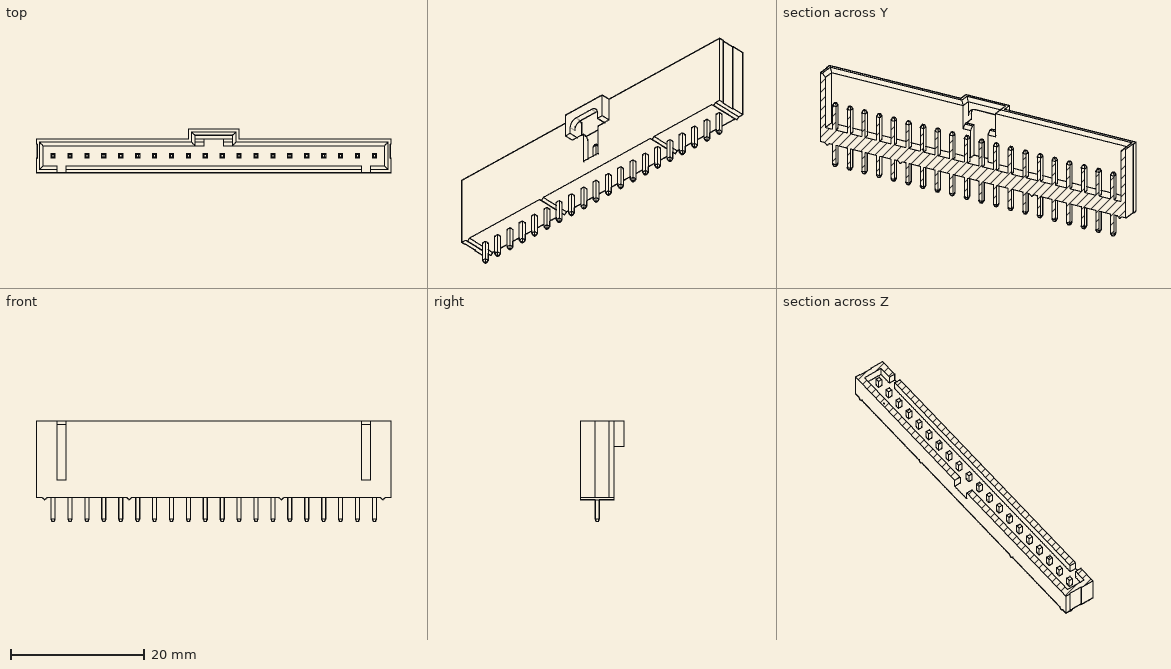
import cadquery as cq

PIN_COUNT = 20
PITCH = 2.54
PIN_SIZE = 0.64
PIN_TAIL = 3.61
PIN_TOP_Z = 6.9
PIN_TAPER = 0.4
PIN_TIP_SIZE = 0.32

END_MARGIN = 2.5
LENGTH = (PIN_COUNT - 1) * PITCH + 2 * END_MARGIN
DEPTH = 5.1
HEIGHT = 11.5
FLOOR = 2.6
BACK_WALL = 1.05
FRONT_WALL = 1.035
END_WALL = 1.0
LEAD_IN = 0.55
BACK_Y = DEPTH / 2
FRONT_Y = -DEPTH / 2
CAVITY_LENGTH = LENGTH - 2 * END_WALL
CAVITY_BACK_Y = BACK_Y - BACK_WALL
CAVITY_FRONT_Y = FRONT_Y + FRONT_WALL

BOX_WIDTH = 7.6
BOX_DEPTH = 1.5
BOX_HEIGHT = 3.85
BOX_WALL = 1.0
BOX_BACK_WALL_HEIGHT = 1.6
BOX_OPENING_FILLET = 1.2
BOX_BOTTOM_Z = HEIGHT - BOX_HEIGHT
BOX_INNER_WIDTH = BOX_WIDTH - 2 * BOX_WALL
BOX_INNER_Y = BACK_Y + BOX_DEPTH - BOX_WALL
KEYWAY_WIDTH = 3.0

SLOT_WIDTH = 1.3
SLOT_X = (PIN_COUNT / 2 - 1) * PITCH

GROOVE_DEPTH = 0.1
GROOVE_WIDTH = 2.1
GROOVE_Y = 0.7

RIB_HEIGHT = 0.35
RIB_WIDTH = 0.8
RIB_POSITIONS = [-10 * PITCH, -5 * PITCH, 4 * PITCH, 10 * PITCH]


def block(x_min, x_max, y_min, y_max, z_min, z_max):
    """Axis-aligned block given by its limits."""
    return cq.Workplane("XY").box(
        x_max - x_min, y_max - y_min, z_max - z_min, centered=False
    ).translate((x_min, y_min, z_min))


def centered_block(width, y_min, y_max, z_min, z_max, x=0):
    """Block centred on the given X position."""
    return block(x - width / 2, x + width / 2, y_min, y_max, z_min, z_max)


def flare(width, y_min, y_max, z_top):
    """Frustum that opens a pocket outward by the lead-in at its mouth."""
    wide_depth = y_max - y_min + 2 * LEAD_IN
    return (
        cq.Workplane("XY", origin=(0, (y_min + y_max) / 2, z_top))
        .rect(width + 2 * LEAD_IN, wide_depth)
        .workplane(offset=-LEAD_IN)
        .rect(width, y_max - y_min)
        .loft(ruled=True)
    )


def make_housing():
    body = centered_block(LENGTH, FRONT_Y, BACK_Y, 0, HEIGHT)
    box = centered_block(BOX_WIDTH, CAVITY_BACK_Y, BACK_Y + BOX_DEPTH, BOX_BOTTOM_Z, HEIGHT)
    return body.union(box)


def cut_cavity(housing):
    cavity = centered_block(CAVITY_LENGTH, CAVITY_FRONT_Y, CAVITY_BACK_Y, FLOOR, HEIGHT)
    mouth = flare(CAVITY_LENGTH, CAVITY_FRONT_Y, CAVITY_BACK_Y, HEIGHT)
    return housing.cut(cavity).cut(mouth)


def cut_polarising_box(housing):
    """Open the box into the cavity; its cutters start at the pin row, inside the cavity."""
    pocket = centered_block(BOX_INNER_WIDTH, 0, BOX_INNER_Y, BOX_BOTTOM_Z, HEIGHT)
    mouth = flare(BOX_INNER_WIDTH, 0, BOX_INNER_Y, HEIGHT)
    back_opening = centered_block(
        BOX_INNER_WIDTH, BOX_INNER_Y, BACK_Y + BOX_DEPTH, BOX_BOTTOM_Z, HEIGHT - BOX_BACK_WALL_HEIGHT
    ).edges("|Y and >Z").fillet(BOX_OPENING_FILLET)
    keyway = centered_block(KEYWAY_WIDTH, 0, BACK_Y, FLOOR, HEIGHT)
    sill_bevel = (
        cq.Workplane("YZ", origin=(-BOX_INNER_WIDTH / 2, 0, 0))
        .moveTo(CAVITY_BACK_Y, BOX_BOTTOM_Z - LEAD_IN)
        .lineTo(CAVITY_BACK_Y + LEAD_IN, BOX_BOTTOM_Z)
        .lineTo(CAVITY_BACK_Y, BOX_BOTTOM_Z)
        .close()
        .extrude(BOX_INNER_WIDTH)
    )
    for cutter in (pocket, mouth, back_opening, keyway, sill_bevel):
        housing = housing.cut(cutter)
    return housing


def cut_front_slots(housing):
    for x in (-SLOT_X, SLOT_X):
        housing = housing.cut(centered_block(SLOT_WIDTH, FRONT_Y, 0, FLOOR, HEIGHT, x))
    return housing


def cut_end_grooves(housing):
    for x in (-LENGTH / 2, LENGTH / 2):
        groove = centered_block(
            2 * GROOVE_DEPTH, GROOVE_Y - GROOVE_WIDTH / 2, GROOVE_Y + GROOVE_WIDTH / 2, 0, HEIGHT, x
        )
        housing = housing.cut(groove)
    return housing


def make_rib(x):
    return (
        cq.Workplane("XZ", origin=(x, BACK_Y, 0))
        .moveTo(-RIB_WIDTH / 2, 0)
        .lineTo(0, -RIB_HEIGHT)
        .lineTo(RIB_WIDTH / 2, 0)
        .close()
        .extrude(DEPTH)
    )


def make_pin(x):
    shank_top = PIN_TOP_Z - PIN_TAPER
    shank_bottom = PIN_TAPER - PIN_TAIL
    pin = centered_block(PIN_SIZE, -PIN_SIZE / 2, PIN_SIZE / 2, shank_bottom, shank_top, x)
    for z, direction in ((shank_top, 1), (shank_bottom, -1)):
        point = (
            cq.Workplane("XY", origin=(x, 0, z))
            .rect(PIN_SIZE, PIN_SIZE)
            .workplane(offset=direction * PIN_TAPER)
            .rect(PIN_TIP_SIZE, PIN_TIP_SIZE)
            .loft(ruled=True)
        )
        pin = pin.union(point)
    return pin


result = make_housing()
result = cut_cavity(result)
result = cut_polarising_box(result)
result = cut_front_slots(result)
result = cut_end_grooves(result)
for rib_x in RIB_POSITIONS:
    result = result.union(make_rib(rib_x))
for index in range(PIN_COUNT):
    result = result.union(make_pin((index - (PIN_COUNT - 1) / 2) * PITCH))